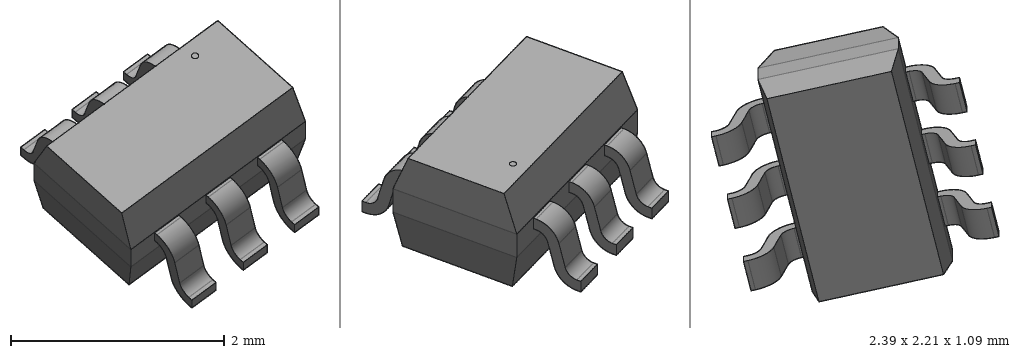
import cadquery as cq
import math


package_height = 1.09
band_width = 1.353
band_length = 2.21
top_width = 1.047
top_length = 2.165
bottom_width = 1.2
bottom_length = 2.118
taper_height = 0.406

lead_span = 2.39
lead_pitch = 0.65
leads_per_side = 3
lead_width = 0.305
lead_thickness = 0.127
lead_top = 0.672
foot_flat = 0.043
lean_angle = 15.0
inner_bend_radius = 0.131
outer_bend_radius = inner_bend_radius + lead_thickness
middle_bend_radius = inner_bend_radius + lead_thickness / 2

marker_diameter = 0.067
marker_depth = 0.025
marker_x = -0.363
marker_y = lead_pitch * (leads_per_side - 1) / 2


def frustum(lower_size, upper_size, base_z, height):
    """Rectangular frustum standing on the plane Z = base_z."""
    return (
        cq.Workplane("XY", origin=(0, 0, base_z))
        .rect(*lower_size)
        .workplane(offset=height)
        .rect(*upper_size)
        .loft(ruled=True)
    )


def make_marker():
    """Disc whose upper face is level with the housing top."""
    return (
        cq.Workplane("XY", origin=(marker_x, marker_y, package_height - marker_depth))
        .circle(marker_diameter / 2)
        .extrude(marker_depth)
    )


def make_housing():
    """Moulded body with a round recess for the pin-1 marker."""
    band_size = (band_width, band_length)
    band_height = package_height - 2 * taper_height
    band_top = taper_height + band_height
    lower = frustum((bottom_width, bottom_length), band_size, 0, taper_height)
    band = cq.Workplane("XY", origin=(0, 0, taper_height)).rect(*band_size).extrude(band_height)
    upper = frustum(band_size, (top_width, top_length), band_top, taper_height)
    return lower.union(band).union(upper).cut(make_marker())


def point_on_bend(centre, radius, angle):
    """Point (x, z) on a bend, with the angle in degrees from +X toward +Z."""
    turn = math.radians(angle)
    return (centre[0] + radius * math.cos(turn), centre[1] + radius * math.sin(turn))


def make_lead(side, y):
    """Gull-wing lead on the +X (side = 1) or -X (side = -1) side, centred at y."""
    lean = math.radians(lean_angle)
    shoulder_z = lead_top - outer_bend_radius
    foot_z = outer_bend_radius

    leg_length = (shoulder_z - foot_z + 2 * middle_bend_radius * math.sin(lean)) / math.cos(lean)
    bend_spacing = 2 * middle_bend_radius * math.cos(lean) + leg_length * math.sin(lean)
    foot_x = lead_span / 2 - foot_flat
    shoulder = (foot_x - bend_spacing, shoulder_z)
    foot = (foot_x, foot_z)

    shoulder_start, shoulder_end = 90, lean_angle
    shoulder_middle = (shoulder_start + shoulder_end) / 2
    foot_start, foot_end = 180 + lean_angle, 270
    foot_middle = (foot_start + foot_end) / 2

    profile = (
        cq.Workplane("XZ")
        .moveTo(band_width / 2, lead_top)
        .lineTo(*point_on_bend(shoulder, outer_bend_radius, shoulder_start))
        .threePointArc(
            point_on_bend(shoulder, outer_bend_radius, shoulder_middle),
            point_on_bend(shoulder, outer_bend_radius, shoulder_end),
        )
        .lineTo(*point_on_bend(foot, inner_bend_radius, foot_start))
        .threePointArc(
            point_on_bend(foot, inner_bend_radius, foot_middle),
            point_on_bend(foot, inner_bend_radius, foot_end),
        )
        .lineTo(lead_span / 2, lead_thickness)
        .lineTo(lead_span / 2, 0)
        .lineTo(*point_on_bend(foot, outer_bend_radius, foot_end))
        .threePointArc(
            point_on_bend(foot, outer_bend_radius, foot_middle),
            point_on_bend(foot, outer_bend_radius, foot_start),
        )
        .lineTo(*point_on_bend(shoulder, inner_bend_radius, shoulder_end))
        .threePointArc(
            point_on_bend(shoulder, inner_bend_radius, shoulder_middle),
            point_on_bend(shoulder, inner_bend_radius, shoulder_start),
        )
        .lineTo(band_width / 2, lead_top - lead_thickness)
        .close()
    )
    lead = profile.extrude(lead_width / 2, both=True)
    if side < 0:
        lead = lead.mirror("YZ")
    return lead.translate((0, y, 0))


housing = make_housing()
marker = make_marker()

leads = []
for side in (-1, 1):
    for index in range(leads_per_side):
        y = (index - (leads_per_side - 1) / 2) * lead_pitch
        leads.append(make_lead(side, y).solids().val())

result = cq.Compound.makeCompound([housing.solids().val(), marker.val(), *leads])